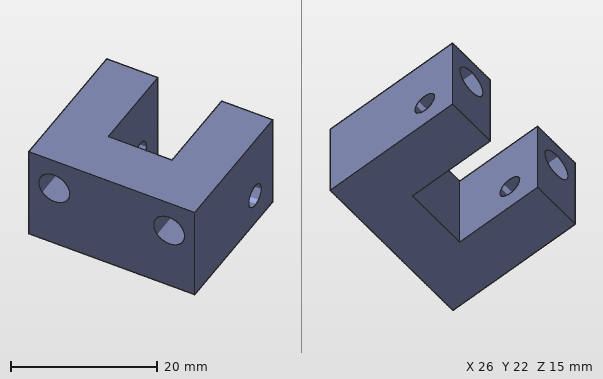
import cadquery as cq

width = 26.0
depth = 22.0
height = 15.0

arm_width = 8.0
slot_width = width - 2 * arm_width
slot_depth = 14.0

arm_hole_diameter = 4.8
arm_hole_from_top = 5.0
arm_hole_spacing = width - arm_width

cross_hole_diameter = 3.5
cross_hole_from_back = 5.0
cross_hole_height = 5.0


def make_block():
    """U-shaped block, centred on X, with its front bottom edge on the X axis."""
    block = cq.Workplane("XY").box(width, depth, height, centered=(True, False, False))
    slot = (
        cq.Workplane("XY")
        .box(slot_width, slot_depth, height, centered=(True, False, False))
        .translate((0, depth - slot_depth, 0))
    )
    return block.cut(slot)


def make_arm_holes():
    """Two cylinders running the full depth of the block."""
    hole_height = height - arm_hole_from_top
    return (
        cq.Workplane("XZ")
        .pushPoints([(side * arm_hole_spacing / 2, hole_height) for side in (-1, 1)])
        .circle(arm_hole_diameter / 2)
        .extrude(-depth)
    )


def make_cross_hole():
    """Cylinder running the full width of the block."""
    return (
        cq.Workplane("YZ")
        .center(depth - cross_hole_from_back, cross_hole_height)
        .circle(cross_hole_diameter / 2)
        .extrude(width / 2, both=True)
    )


result = make_block().cut(make_arm_holes()).cut(make_cross_hole())